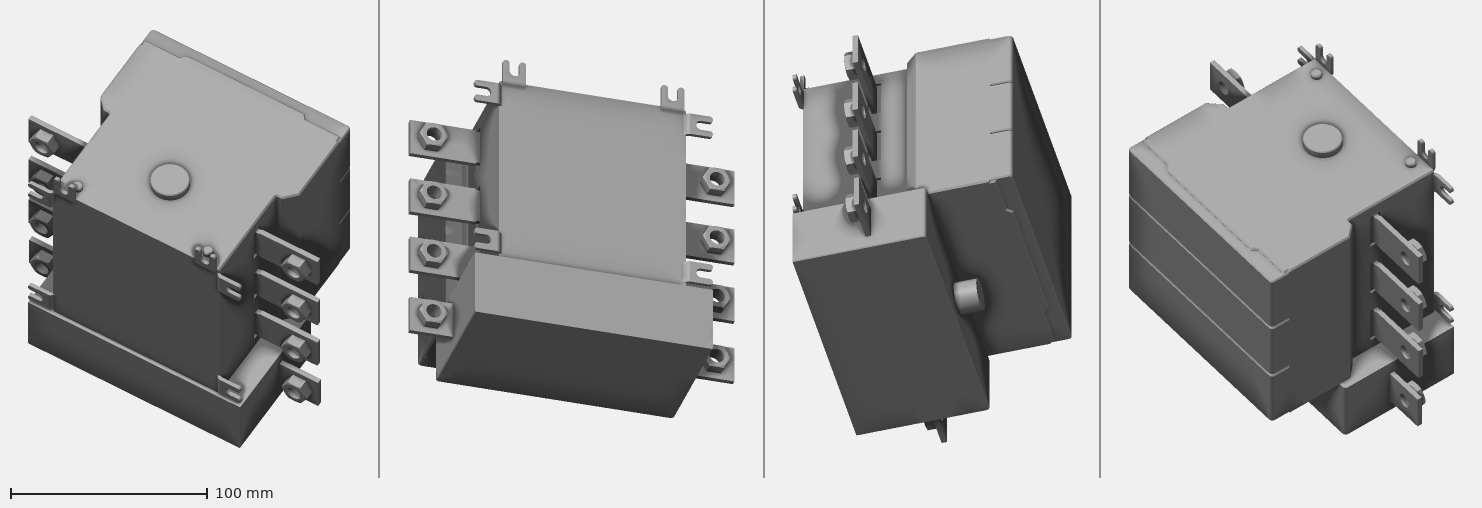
import cadquery as cq
import math

BASE_WIDTH = 126.3
BASE_DEPTH = 70.2
BASE_HEIGHT = 35.5
BASE_CORNER = 1.9
BASE_EDGE_BREAK = 0.5
BASE_KNOB_DIAMETER = 16.9
BASE_KNOB_LENGTH = 11.9

POLE_COUNT = 3
POLE_PITCH = 35.5
BODY_BOTTOM = BASE_HEIGHT
BODY_TOP = BODY_BOTTOM + POLE_COUNT * POLE_PITCH
BODY_MIDDLE = (BODY_BOTTOM + BODY_TOP) / 2
FRONT_Y = 2.0
SHOULDER_Y = 57.5
FLARE_Y = 64.0
BACK_Y = 114.5
FRONT_HALF = 49.5
SHOULDER_HALF = 53.2
BACK_HALF = 59.3
BACK_CORNER = 2.0
EDGE_BREAK = 0.9

COVER_START_Y = 102.9
COVER_WALL = 1.0
COVER_SIDE_Y = 106.0
COVER_MIDDLE_Y = 108.9
COVER_MIDDLE_HALF = 35.1
COVER_SLOPE_HALF = 37.5
COVER_JOINT_GAP = 0.5
COVER_END_SETBACK = 1.0
COVER_EDGE_BREAK = 0.7

TERMINAL_SPAN = 172.0
BAR_WIDTH = 20.0
BAR_THICKNESS = 2.8
BAR_FRONT_Y = 37.8
BASE_BAR_SETBACK = 0.7
BAR_EMBED = 3.5
NECK_WIDTH = 18.4
NECK_END_HALF = 51.3
TERMINAL_PITCH = 35.0
TERMINAL_MIDDLE_Z = 88.2
BOLT_HALF_SPACING = 75.0
BOLT_HOLE_DIAMETER = 7.9
NUT_FLATS = 13.0
NUT_HEIGHT = 5.8
NUT_CONE_DIAMETER = 12.4
NUT_CONE_DROP = 0.5
WINDOW_HEIGHT = 21.8
WINDOW_FRONT_Y = 36.0
WINDOW_BACK_Y = 43.0
WINDOW_DEPTH = 1.4

TAB_LENGTH = 15.8
TAB_WIDTH = 12.2
TAB_THICKNESS = 2.0
TAB_BEND_LENGTH = 4.0
TAB_BEND_DEPTH = 2.2
TAB_SLOT_WIDTH = 5.3
TAB_SLOT_DEPTH = 8.8
TAB_TIP_RADIUS = 1.5
SIDE_TAB_TIP_X = BASE_WIDTH / 2
SIDE_TAB_OFFSET = 44.2
TOP_TAB_TIP_Z = 153.5
TOP_TAB_X = 42.0

BUTTON_DIAMETER = 20.1
BUTTON_HEIGHT = 4.3
BUTTON_Y = 35.1
BUTTON_CHAMFER = 0.5
SCREW_DIAMETER = 5.7
SCREW_HEIGHT = 2.5
SCREW_CHAMFER = 0.7
SCREW_X = 38.9
SCREW_Y = 8.6


def box(x_range, y_range, z_range):
    """Axis-aligned box given by its limits along each axis."""
    size = [high - low for low, high in (x_range, y_range, z_range)]
    low_corner = (x_range[0], y_range[0], z_range[0])
    return cq.Workplane("XY").box(*size, centered=False).translate(low_corner)


def mirrored_outline(half_points):
    """Closed XY outline from its +X half, listed from front to back."""
    other_half = [(-x, y) for x, y in reversed(half_points)]
    return cq.Workplane("XY").polyline(half_points + other_half).close()


def make_base():
    base = box((-BASE_WIDTH / 2, BASE_WIDTH / 2), (0, BASE_DEPTH), (0, BASE_HEIGHT))
    base = base.edges("|Z and >Y").fillet(BASE_CORNER)
    base = base.faces("<Z").edges("not(<Y)").chamfer(BASE_EDGE_BREAK)
    knob = (
        cq.Workplane("XZ", origin=(0, BASE_DEPTH, BASE_HEIGHT / 2))
        .circle(BASE_KNOB_DIAMETER / 2)
        .extrude(-BASE_KNOB_LENGTH)
    )
    return base.union(knob)


def make_body():
    body = mirrored_outline([
        (FRONT_HALF, FRONT_Y),
        (FRONT_HALF, SHOULDER_Y),
        (SHOULDER_HALF, SHOULDER_Y),
        (BACK_HALF, FLARE_Y),
        (BACK_HALF, COVER_START_Y),
        (BACK_HALF - COVER_WALL, COVER_START_Y),
        (BACK_HALF - COVER_WALL, COVER_SIDE_Y),
        (COVER_SLOPE_HALF, COVER_SIDE_Y),
        (COVER_MIDDLE_HALF, COVER_MIDDLE_Y),
    ]).extrude(BODY_TOP - BODY_BOTTOM)
    body = body.translate((0, 0, BODY_BOTTOM))
    flare_edges = cq.selectors.BoxSelector(
        (-BACK_HALF - EDGE_BREAK, SHOULDER_Y - EDGE_BREAK, BODY_BOTTOM),
        (BACK_HALF + EDGE_BREAK, FLARE_Y + EDGE_BREAK, BODY_TOP),
    )
    body = body.edges("|Z").edges(flare_edges).fillet(EDGE_BREAK)
    return body.faces("<Z or >Z").edges("not(<Y)").chamfer(EDGE_BREAK)


def make_cover(pole):
    """Rear cover of one pole, counted from the bottom."""
    bottom = BODY_BOTTOM + pole * POLE_PITCH + COVER_JOINT_GAP / 2
    top = BODY_BOTTOM + (pole + 1) * POLE_PITCH - COVER_JOINT_GAP / 2
    bottom = max(bottom, BODY_BOTTOM + COVER_END_SETBACK)
    top = min(top, BODY_TOP - COVER_END_SETBACK)
    cover = box((-BACK_HALF, BACK_HALF), (COVER_START_Y, BACK_Y), (bottom, top))
    cover = cover.edges("|Z and >Y").fillet(BACK_CORNER)
    return cover.faces("<Z or >Z").edges("not(<Y)").chamfer(COVER_EDGE_BREAK)


def make_nut(x, bar_front_y, z):
    """Hex nut on the front of a bar, its front corners turned to a cone."""
    face = cq.Workplane("XZ", origin=(x, bar_front_y, z))
    corner_radius = NUT_FLATS / math.sqrt(3)
    nut = face.polygon(6, 2 * corner_radius).extrude(NUT_HEIGHT)
    turned = face.circle(corner_radius).extrude(NUT_HEIGHT)
    cone_run = corner_radius - NUT_CONE_DIAMETER / 2
    turned = turned.faces("<Y").chamfer(NUT_CONE_DROP, cone_run)
    return nut.intersect(turned)


def make_terminal(side, z, bar_front_y, bar_inner_half):
    """Bar with its nut and bolt hole; side is +1 or -1 along X."""
    bar_y = (bar_front_y, bar_front_y + BAR_THICKNESS)
    ends = sorted((side * bar_inner_half, side * TERMINAL_SPAN / 2))
    bar = box(ends, bar_y, (z - BAR_WIDTH / 2, z + BAR_WIDTH / 2))
    bolt_x = side * BOLT_HALF_SPACING
    hole = (
        cq.Workplane("XZ", origin=(bolt_x, bar_y[1], z))
        .circle(BOLT_HOLE_DIAMETER / 2)
        .extrude(BAR_THICKNESS + NUT_HEIGHT)
    )
    return bar.union(make_nut(bolt_x, bar_front_y, z)).cut(hole)


def make_neck(side, z):
    """Narrower stretch that carries a pole bar out of the body."""
    ends = sorted((side * (FRONT_HALF - BAR_EMBED), side * NECK_END_HALF))
    bar_y = (BAR_FRONT_Y, BAR_FRONT_Y + BAR_THICKNESS)
    return box(ends, bar_y, (z - NECK_WIDTH / 2, z + NECK_WIDTH / 2))


def make_window(side, z):
    """Shallow recess in the side wall around a pole bar."""
    ends = sorted((side * (FRONT_HALF - WINDOW_DEPTH), side * FRONT_HALF))
    z_range = (z - WINDOW_HEIGHT / 2, z + WINDOW_HEIGHT / 2)
    return box(ends, (WINDOW_FRONT_Y, WINDOW_BACK_Y), z_range)


def make_tab():
    """Forked tab pointing along +X, its tip at the origin; the root bends back."""
    bend_x = TAB_BEND_LENGTH - TAB_LENGTH
    root_x = -TAB_LENGTH
    middle_x = (bend_x + root_x) / 2
    middle_y = TAB_BEND_DEPTH / 2
    outline = (
        cq.Workplane("XY")
        .lineTo(bend_x, 0)
        .tangentArcPoint((middle_x, middle_y), relative=False)
        .tangentArcPoint((root_x, TAB_BEND_DEPTH), relative=False)
        .lineTo(root_x, TAB_BEND_DEPTH + TAB_THICKNESS / 2)
        .lineTo(bend_x, TAB_THICKNESS)
        .lineTo(0, TAB_THICKNESS)
        .close()
    )
    tab = outline.extrude(TAB_WIDTH / 2, both=True)
    slot_radius = TAB_SLOT_WIDTH / 2
    slot_centre_x = slot_radius - TAB_SLOT_DEPTH
    slot = box((slot_centre_x, 0), (0, TAB_THICKNESS), (-slot_radius, slot_radius))
    slot_end = (
        cq.Workplane("XZ", origin=(slot_centre_x, 0, 0))
        .circle(slot_radius)
        .extrude(-TAB_THICKNESS)
    )
    tab = tab.cut(slot).cut(slot_end)
    return tab.edges("|Y and >X").fillet(TAB_TIP_RADIUS)


def make_tabs():
    tab = make_tab()
    side_tab = tab.translate((SIDE_TAB_TIP_X, 0, 0))
    top_tab = tab.rotate((0, 0, 0), (0, 1, 0), -90).translate((0, 0, TOP_TAB_TIP_Z))
    tabs = []
    for side in (-1, 1):
        turned = side_tab if side > 0 else side_tab.mirror("YZ")
        for level in (-1, 1):
            tabs.append(turned.translate((0, 0, BODY_MIDDLE + level * SIDE_TAB_OFFSET)))
        tabs.append(top_tab.translate((side * TOP_TAB_X, 0, 0)))
    return tabs


def make_stud(x, y, diameter, height, chamfer):
    """Chamfered round stud standing on top of the body."""
    stud = cq.Workplane("XY", origin=(x, y, BODY_TOP)).circle(diameter / 2).extrude(height)
    return stud.faces(">Z").chamfer(chamfer)


body = make_body()
for pole in range(POLE_COUNT):
    body = body.union(make_cover(pole))

terminals = []
for side in (-1, 1):
    for level in (-1, 0, 1):
        pole_z = TERMINAL_MIDDLE_Z + level * TERMINAL_PITCH
        body = body.cut(make_window(side, pole_z))
        terminals.append(make_neck(side, pole_z))
        terminals.append(make_terminal(side, pole_z, BAR_FRONT_Y, NECK_END_HALF))
    base_bar_y = BAR_FRONT_Y + BASE_BAR_SETBACK
    base_bar_inner = BASE_WIDTH / 2 - BAR_EMBED
    terminals.append(make_terminal(side, BASE_HEIGHT / 2, base_bar_y, base_bar_inner))

studs = [make_stud(0, BUTTON_Y, BUTTON_DIAMETER, BUTTON_HEIGHT, BUTTON_CHAMFER)]
for side in (-1, 1):
    studs.append(make_stud(side * SCREW_X, SCREW_Y, SCREW_DIAMETER, SCREW_HEIGHT, SCREW_CHAMFER))

result = body.union(make_base())
for piece in terminals + make_tabs() + studs:
    result = result.union(piece)